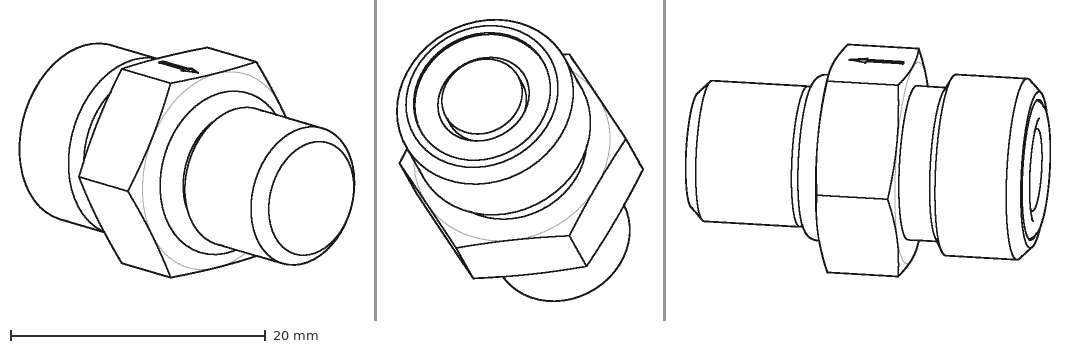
import cadquery as cq
import math

total_length = 27.45
front_face_x = 0.4
hex_start_x = 10.15
hex_end_x = 16.48

hex_sides = 6
across_flats = 15.87
hex_chamfer_angle = 15.0

large_thread_radius = 14.28 / 2
neck_radius = 12.15 / 2
large_thread_end_x = 7.08

small_thread_radius = 11.1 / 2
seal_groove_radius = 9.3 / 2
seal_groove_width = 1.85

end_chamfer = 1.0

runout_angle = 30.0

seal_section_radius = 0.9
face_groove_outer_radius = 11.07 / 2
face_groove_inner_radius = 6.5 / 2
face_seal_mean_radius = face_groove_outer_radius - seal_section_radius
face_groove_floor_x = 2 * seal_section_radius
stud_seal_mean_radius = 5.63

arrow_start_x = 11.07
arrow_neck_x = 14.0
arrow_tip_x = 15.38
arrow_centre_y = -0.93
arrow_shaft_half_width = 0.25
arrow_head_half_width = 0.52
arrow_depth = 0.08


def runout_length(inner_radius, outer_radius):
    """Axial length of a sloped run-out between two radii."""
    return (outer_radius - inner_radius) * math.tan(math.radians(runout_angle))


def revolve_profile(points):
    """Turn a closed (x, radius) outline around the X axis."""
    return cq.Workplane("XY").polyline(points).close().revolve(360, (0, 0, 0), (1, 0, 0))


def make_turned_ends():
    """Both threaded ends, the neck and the groove behind the hexagon as one turned shape."""
    neck_start_x = large_thread_end_x + runout_length(neck_radius, large_thread_radius)
    groove_end_x = hex_end_x + seal_groove_width
    small_thread_start_x = groove_end_x + runout_length(seal_groove_radius, small_thread_radius)
    return revolve_profile([
        (front_face_x, 0),
        (front_face_x, large_thread_radius - end_chamfer),
        (front_face_x + end_chamfer, large_thread_radius),
        (large_thread_end_x, large_thread_radius),
        (neck_start_x, neck_radius),
        (hex_start_x, neck_radius),
        (hex_end_x, seal_groove_radius),
        (groove_end_x, seal_groove_radius),
        (small_thread_start_x, small_thread_radius),
        (total_length - end_chamfer, small_thread_radius),
        (total_length, small_thread_radius - end_chamfer),
        (total_length, 0),
    ])


def make_hexagon():
    """Hexagon with flats at top and bottom, its corners chamfered on both sides."""
    across_corners = across_flats / math.cos(math.pi / hex_sides)
    hexagon = (
        cq.Workplane("YZ")
        .workplane(offset=hex_start_x)
        .polygon(hex_sides, across_corners)
        .extrude(hex_end_x - hex_start_x)
    )
    flat_radius = across_flats / 2
    corner_radius = across_corners / 2
    chamfer_length = (corner_radius - flat_radius) * math.tan(math.radians(hex_chamfer_angle))
    envelope = revolve_profile([
        (hex_start_x, 0),
        (hex_start_x, flat_radius),
        (hex_start_x + chamfer_length, corner_radius),
        (hex_end_x - chamfer_length, corner_radius),
        (hex_end_x, flat_radius),
        (hex_end_x, 0),
    ])
    return hexagon.intersect(envelope)


def make_face_groove():
    """Ring-shaped cutter for the seal groove in the front face."""
    return (
        cq.Workplane("YZ")
        .workplane(offset=front_face_x)
        .circle(face_groove_outer_radius)
        .circle(face_groove_inner_radius)
        .extrude(face_groove_floor_x - front_face_x)
    )


def make_flow_arrow():
    """Cutter for the arrow in the top flat, pointing to the small end."""
    upper_half = [
        (arrow_start_x, arrow_shaft_half_width),
        (arrow_neck_x, arrow_shaft_half_width),
        (arrow_neck_x, arrow_head_half_width),
    ]
    lower_half = [(x, -y) for x, y in reversed(upper_half)]
    return (
        cq.Workplane("XY", origin=(0, arrow_centre_y, across_flats / 2))
        .polyline(upper_half + [(arrow_tip_x, 0)] + lower_half)
        .close()
        .extrude(-arrow_depth)
    )


def make_fitting_body():
    """Threaded fitting body with its hexagon, face groove and arrow."""
    body = make_turned_ends().union(make_hexagon())
    return body.cut(make_face_groove()).cut(make_flow_arrow())


def make_seal_ring(centre_x, mean_radius):
    """O-ring around the X axis."""
    return (
        cq.Workplane("XY")
        .center(centre_x, mean_radius)
        .circle(seal_section_radius)
        .revolve(360, (0, -mean_radius, 0), (1, -mean_radius, 0))
    )


fitting_body = make_fitting_body()
face_seal = make_seal_ring(seal_section_radius, face_seal_mean_radius)
stud_seal = make_seal_ring(hex_end_x + seal_section_radius, stud_seal_mean_radius)

result = cq.Compound.makeCompound([fitting_body.val(), face_seal.val(), stud_seal.val()])